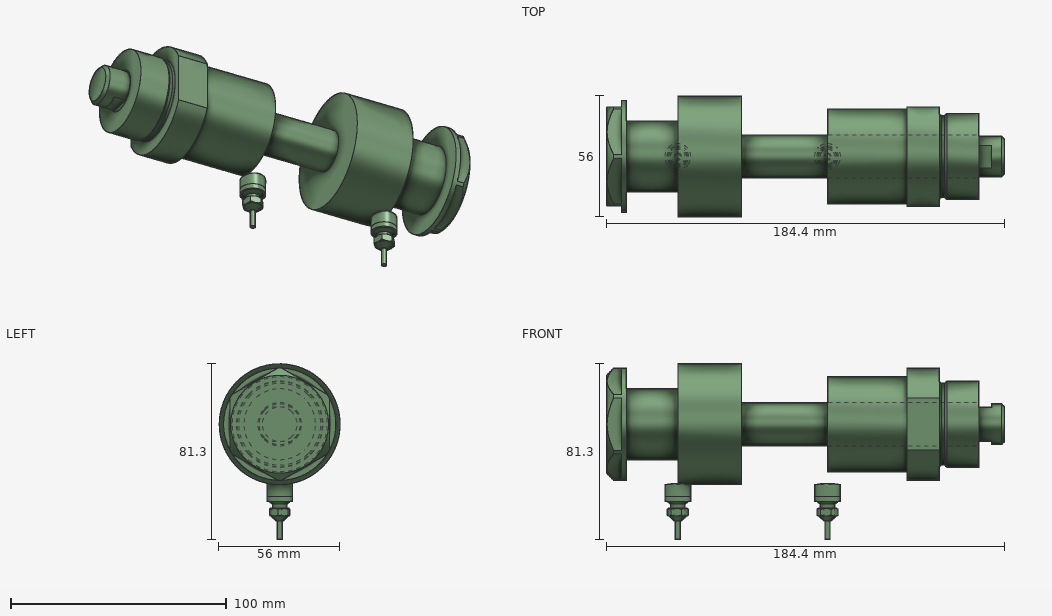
import cadquery as cq
import math


plug_flange_start = 6.8
plug_flange_end = 9.2
piston_start = 33.0
piston_end = 62.5
head_start = 102.3
collar_start = 139.0
collar_end = 154.2
head_end = 172.5
rod_flats_end = 178.3
rod_end = 184.4

plug_hex_flats = 46.0
plug_flange_diameter = 52.0
plug_face_diameter = 45.4
plug_stem_diameter = 33.0

piston_diameter = 56.0
rod_diameter = 20.1
rod_tip_diameter = 19.0
rod_tip_flats = 15.9
rod_tip_chamfer = 1.5

sleeve_diameter = 44.0
collar_diameter = 52.0
collar_flats = 46.1
spigot_diameter = 40.0
relief_lip_diameter = 39.5
relief_diameter = 38.0
relief_lip_length = 1.0
relief_length = 1.5
relief_chamfer = (spigot_diameter - relief_diameter) / 2

boss_bottom = -33.4
gland_body_bottom = -35.8
gland_taper_bottom = -37.0
nut_top = -39.0
nut_bottom = -42.6
gland_tip = -44.8
cable_end = -53.3

boss_diameter = 12.0
gland_shoulder_diameter = 10.0
gland_neck_diameter = 6.8
nut_flats = 8.7
nut_face_diameter = 8.5
nut_chamfer_height = 0.5
nut_turn = 20.0
gland_cone_diameter = 8.1
gland_tip_diameter = 3.3
cable_diameter = 2.4
port_positions = [piston_start, head_start]


def cylinder_x(diameter, start, end):
    """Solid cylinder on the main axis between two X positions."""
    return cq.Workplane("YZ", origin=(start, 0, 0)).circle(diameter / 2).extrude(end - start)


def cylinder_z(diameter, top, bottom):
    """Solid cylinder on the Z axis between two heights."""
    return cq.Workplane("XY", origin=(0, 0, bottom)).circle(diameter / 2).extrude(top - bottom)


def cone_z(top_diameter, bottom_diameter, top, bottom):
    """Solid truncated cone on the Z axis between two heights."""
    height = top - bottom
    cone = cq.Solid.makeCone(bottom_diameter / 2, top_diameter / 2, height, pnt=cq.Vector(0, 0, bottom))
    return cq.Workplane(cone)


def corner_diameter(across_flats):
    """Across-corners size of a regular hexagon."""
    return across_flats / math.cos(math.pi / 6)


def make_plug():
    """Hexagon-headed plug with a thin flange and a plain stem that meets the piston."""
    hexagon = (
        cq.Workplane("YZ")
        .transformed(rotate=(0, 0, 90))
        .polygon(6, corner_diameter(plug_hex_flats))
        .extrude(plug_flange_start)
    )
    chamfer = (plug_flange_diameter - plug_face_diameter) / 2
    envelope = cylinder_x(plug_flange_diameter, 0, plug_flange_start).faces("<X").chamfer(chamfer)
    head = hexagon.intersect(envelope)
    flange = cylinder_x(plug_flange_diameter, plug_flange_start, plug_flange_end)
    stem = cylinder_x(plug_stem_diameter, plug_flange_end, piston_start)
    return head.union(flange).union(stem)


def make_piston_rod():
    """Piston and its rod, which runs through the head and ends in a tip with two spanner flats."""
    piston = cylinder_x(piston_diameter, piston_start, piston_end)
    rod = cylinder_x(rod_diameter, piston_end, head_end)
    tip = cylinder_x(rod_tip_diameter, head_end, rod_end).faces(">X").chamfer(rod_tip_chamfer)
    flats_length = rod_flats_end - head_end
    between_flats = cq.Workplane("XY").box(
        flats_length, rod_tip_diameter, rod_tip_flats, centered=(False, True, True)
    ).translate((head_end, 0, 0))
    flatted_tip = tip.intersect(between_flats.union(cylinder_x(rod_tip_diameter, rod_flats_end, rod_end)))
    return piston.union(rod).union(flatted_tip)


def make_head():
    """Rod guide: sleeve, collar with two flats, and a spigot behind a relief groove."""
    relief_start = collar_end + relief_lip_length
    relief_end = relief_start + relief_length
    spigot_start = relief_end + relief_chamfer
    profile = [
        (head_start, rod_diameter / 2),
        (head_start, sleeve_diameter / 2),
        (collar_start, sleeve_diameter / 2),
        (collar_start, collar_diameter / 2),
        (collar_end, collar_diameter / 2),
        (collar_end, relief_lip_diameter / 2),
        (relief_start, relief_diameter / 2),
        (relief_end, relief_diameter / 2),
        (spigot_start, spigot_diameter / 2),
        (head_end, spigot_diameter / 2),
        (head_end, rod_diameter / 2),
    ]
    turned = cq.Workplane("XY").polyline(profile).close().revolve(360, (0, 0, 0), (1, 0, 0))
    between_flats = cq.Workplane("XY").box(
        head_end - head_start, collar_flats, collar_diameter, centered=(False, True, True)
    ).translate((head_start, 0, 0))
    return turned.intersect(between_flats)


def make_port_boss(x):
    """Round boss whose top is a saddle that fits the piston's outer diameter."""
    boss = cylinder_z(boss_diameter, 0, boss_bottom)
    saddle = cylinder_x(piston_diameter, -boss_diameter, boss_diameter)
    return boss.cut(saddle).translate((x, 0, 0))


def make_gland_nut():
    """Hexagon nut with its corners chamfered at both ends."""
    corners = corner_diameter(nut_flats)
    nut = (
        cq.Workplane("XY", origin=(0, 0, nut_bottom))
        .transformed(rotate=(0, 0, nut_turn - 90))
        .polygon(6, corners)
        .extrude(nut_top - nut_bottom)
    )
    chamfer_width = (corners - nut_face_diameter) / 2
    envelope = (
        cylinder_z(corners, nut_top, nut_bottom)
        .faces(">Z").chamfer(nut_chamfer_height, chamfer_width)
        .faces("<Z").chamfer(nut_chamfer_height, chamfer_width)
    )
    return nut.intersect(envelope)


def make_cable_gland(x):
    """Cable gland below a boss: body, tapered neck, nut, closing cone and cable."""
    gland = (
        cylinder_z(boss_diameter, boss_bottom, gland_body_bottom)
        .union(cone_z(gland_shoulder_diameter, gland_neck_diameter, gland_body_bottom, gland_taper_bottom))
        .union(cylinder_z(gland_neck_diameter, gland_taper_bottom, nut_top))
        .union(make_gland_nut())
        .union(cone_z(gland_cone_diameter, gland_tip_diameter, nut_bottom, gland_tip))
        .union(cylinder_z(cable_diameter, gland_tip, cable_end))
    )
    return gland.translate((x, 0, 0))


plug = make_plug().solids()
piston_rod = make_piston_rod().solids()
head = make_head().solids()

port_bodies = []
for port_x in port_positions:
    port_bodies.append(make_port_boss(port_x).solids().val())
    port_bodies.append(make_cable_gland(port_x).solids().val())

result = cq.Compound.makeCompound([plug.val(), piston_rod.val(), head.val(), *port_bodies])